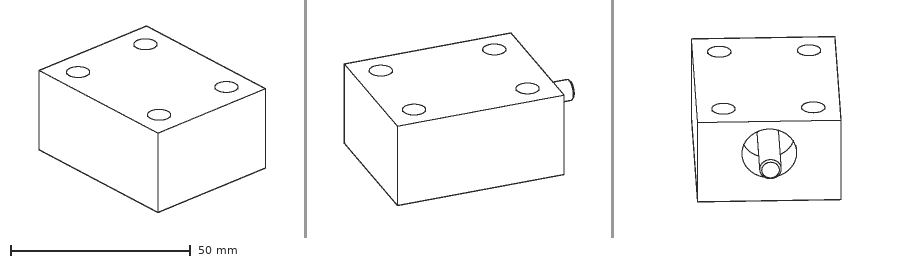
import math

import cadquery as cq

block_length = 50.0
block_width = 40.0
block_height = 25.0

mount_hole_diameter = 6.5
mount_hole_spacing_x = 34.0
mount_hole_spacing_y = 25.0

overall_length = 60.0
pin_diameter = 6.0
pin_axis_drop = 10.0
pin_tip_chamfer = 0.55

bore_diameter = 15.25
bore_wall_depth = 12.0
bore_tip_angle = 118.0

pin_radius = pin_diameter / 2
pin_projection = overall_length - block_length
pin_axis_height = block_height - pin_axis_drop
bore_radius = bore_diameter / 2
cone_depth = (bore_radius - pin_radius) / math.tan(math.radians(bore_tip_angle / 2))


def make_block():
    return (
        cq.Workplane("XY")
        .box(block_length, block_width, block_height, centered=(False, True, False))
        .faces(">Z")
        .workplane(centerOption="CenterOfBoundBox")
        .rect(mount_hole_spacing_x, mount_hole_spacing_y, forConstruction=True)
        .vertices()
        .hole(mount_hole_diameter)
    )


def on_pin_axis(x):
    """Workplane square to the pin axis, facing into the block."""
    return cq.Workplane("YZ", origin=(x, 0, pin_axis_height))


def make_bore():
    wall = on_pin_axis(0).circle(bore_radius).extrude(bore_wall_depth)
    floor = (
        on_pin_axis(bore_wall_depth)
        .circle(bore_radius)
        .workplane(offset=cone_depth)
        .circle(pin_radius)
        .loft(ruled=True)
    )
    return wall.union(floor)


def make_pin():
    return (
        on_pin_axis(-pin_projection)
        .circle(pin_radius)
        .extrude(pin_projection + bore_wall_depth + cone_depth)
        .faces("<X")
        .chamfer(pin_tip_chamfer)
    )


result = make_block().cut(make_bore()).union(make_pin())